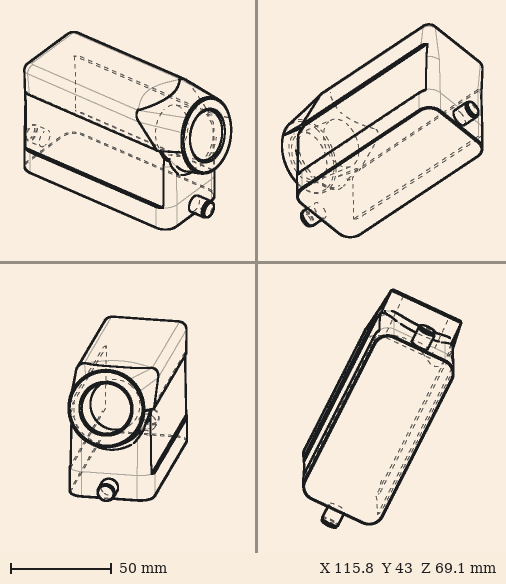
import cadquery as cq
import math

OVERALL_LENGTH = 115.8
OVERALL_HEIGHT = 69.1

RIM_LENGTH = 93.6
RIM_WIDTH = 43.0
RIM_HEIGHT = 13.4
RIM_CORNER = 7.4
RIM_CHAMFER = 0.5
WAIST_HEIGHT = 37.6
WAIST_CORNER = 7.1
TOP_LENGTH = 91.3
TOP_WIDTH = 41.7
TOP_HEIGHT = 62.7
TOP_CORNER = 3.8
TOP_FILLET = 3.7

PANEL_TOP_HEIGHT = 46.5
PANEL_BOTTOM_HALF_WIDTH = 20.5
PANEL_TOP_HALF_WIDTH = 19.9
LOWER_LEDGE_DROP = 0.5
UPPER_LEDGE_RISE = 0.3

PIN_DIAMETER = 8.8
PIN_TIP_DIAMETER = 8.0
PIN_END = 56.0
PIN_TIP_LENGTH = 0.9
PIN_HEIGHT = 6.4

OUTLET_TILT = 15
OUTLET_DIAMETER = 38.5
MOUTH_CHAMFER_RADIAL = 0.8
MOUTH_CHAMFER_AXIAL = 0.8
BORE_DIAMETER = 25.0
BORE_DEPTH = 23.2
BORE_CHAMFER = 0.9
LOWER_OUTLET_LENGTH = 23.2
ROOT_FILLET_REACH = 3.2

OBLIQUE_TOP_X = 24.8
OBLIQUE_SLOPE = 1.07
ROOT_HALF_WIDTH = 21.2
CORNER_START_ANGLE = 36
CORNER_END_ANGLE = 59

BLEND_REACH = 6.6

BLEND_SINK = 0.2
ROOT_FILLET_SINK = 0.4

BLEND_STATIONS = (0.3, 0.6, 0.97)
ROOT_FILLET_STATIONS = (0.4, 0.75, 0.9, 0.96)

tilt = math.radians(OUTLET_TILT)
outlet_radius = OUTLET_DIAMETER / 2
mouth_radius = outlet_radius - MOUTH_CHAMFER_RADIAL
outlet_x = OVERALL_LENGTH - PIN_END - mouth_radius * math.sin(tilt)
outlet_z = OVERALL_HEIGHT - outlet_radius * math.cos(tilt) + MOUTH_CHAMFER_AXIAL * math.sin(tilt)
top_half_width = TOP_WIDTH / 2
brow_half_width = top_half_width - TOP_FILLET


def drafted_size(height):
    """Length and width of the drafted body at a height above the rim."""
    share = (height - RIM_HEIGHT) / (TOP_HEIGHT - RIM_HEIGHT)
    length = RIM_LENGTH + (TOP_LENGTH - RIM_LENGTH) * share
    width = RIM_WIDTH + (TOP_WIDTH - RIM_WIDTH) * share
    return length, width


def section(length, width, corner, height):
    """Rounded rectangle lying at a height."""
    outline = cq.Sketch().rect(length, width).vertices().fillet(corner)
    return outline.moved(cq.Location(cq.Vector(0, 0, height)))


def make_body():
    rim_bottom = section(RIM_LENGTH, RIM_WIDTH, RIM_CORNER, 0)
    rim_top = section(RIM_LENGTH, RIM_WIDTH, RIM_CORNER, RIM_HEIGHT)
    waist = section(*drafted_size(WAIST_HEIGHT), WAIST_CORNER, WAIST_HEIGHT)
    top = section(TOP_LENGTH, TOP_WIDTH, TOP_CORNER, TOP_HEIGHT)

    rim = cq.Workplane("XY").placeSketch(rim_bottom).extrude(RIM_HEIGHT)
    rim = rim.faces("<Z").chamfer(RIM_CHAMFER)
    lower = cq.Workplane("XY").placeSketch(rim_top, waist).loft(ruled=True)
    upper = cq.Workplane("XY").placeSketch(waist, top).loft(ruled=True)
    upper = upper.faces(">Z").edges().fillet(TOP_FILLET)
    return rim.union(lower).union(upper)


def panel_cut(side):
    """Slab that flattens one long side (side is -1 or 1) and forms its two ledges."""
    rim_side = side * RIM_WIDTH / 2
    outside = side * RIM_WIDTH
    lower_edge = RIM_HEIGHT - LOWER_LEDGE_DROP
    upper_edge = PANEL_TOP_HEIGHT + UPPER_LEDGE_RISE
    profile = [
        (side * PANEL_BOTTOM_HALF_WIDTH, RIM_HEIGHT),
        (side * PANEL_TOP_HALF_WIDTH, PANEL_TOP_HEIGHT),
        (rim_side, upper_edge),
        (outside, upper_edge),
        (outside, lower_edge),
        (rim_side, lower_edge),
    ]
    slab = cq.Workplane("YZ", origin=(-RIM_LENGTH / 2, 0, 0)).polyline(profile).close()
    return slab.extrude(RIM_LENGTH)


def oblique_cut():
    """Wedge above the oblique plane, at the upper +X corner of the body."""
    end_x = OBLIQUE_TOP_X + TOP_LENGTH
    rise = OVERALL_HEIGHT - TOP_HEIGHT
    profile = [
        (OBLIQUE_TOP_X - rise / OBLIQUE_SLOPE, OVERALL_HEIGHT),
        (end_x, OVERALL_HEIGHT),
        (end_x, TOP_HEIGHT - OBLIQUE_SLOPE * TOP_LENGTH),
    ]
    return cq.Workplane("XZ").polyline(profile).close().extrude(RIM_WIDTH, both=True)


def outlet_plane(distance_back):
    """Plane square to the outlet axis: local x along Y, local y upwards, normal out of the mouth."""
    out_x = math.cos(tilt)
    out_z = math.sin(tilt)
    origin = (outlet_x - distance_back * out_x, 0, outlet_z - distance_back * out_z)
    return cq.Plane(origin=origin, xDir=(0, 1, 0), normal=(out_x, 0, out_z))


def mouth_point(angle):
    """Point on the outlet shoulder circle, angle in degrees from its top."""
    turn = math.radians(angle)
    across = outlet_radius * math.sin(turn)
    up = outlet_radius * math.cos(turn)
    return outlet_plane(MOUTH_CHAMFER_AXIAL).toWorldCoords((across, up, 0))


def mouth_arc(start, end):
    return cq.Edge.makeThreePointArc(mouth_point(start), mouth_point((start + end) / 2), mouth_point(end))


def root_point(y, drop):
    """Point on the oblique plane, a given drop below the roof."""
    return cq.Vector(OBLIQUE_TOP_X + drop / OBLIQUE_SLOPE, y, TOP_HEIGHT - drop)


def root_corner(side):
    """Rounded upper corner of the outlet's root, from the roof to the side wall."""
    bend = TOP_FILLET * (1 - math.sqrt(0.5))
    return cq.Edge.makeThreePointArc(
        root_point(side * brow_half_width, 0),
        root_point(side * (top_half_width - bend), bend),
        root_point(side * top_half_width, TOP_FILLET),
    )


def make_upper_outlet():
    """Upper half: from the body's outline on the oblique plane to a half circle at the shoulder."""
    axis_z_below_edge = outlet_z + (OBLIQUE_TOP_X - outlet_x) * math.tan(tilt)
    foot_drop = (TOP_HEIGHT - axis_z_below_edge) / (1 + math.tan(tilt) / OBLIQUE_SLOPE)
    foot_right = root_point(ROOT_HALF_WIDTH, foot_drop)
    foot_left = root_point(-ROOT_HALF_WIDTH, foot_drop)

    line = cq.Edge.makeLine
    root = cq.Wire.assembleEdges([
        line(root_point(-brow_half_width, 0), root_point(brow_half_width, 0)),
        root_corner(1),
        line(root_point(top_half_width, TOP_FILLET), foot_right),
        line(foot_right, foot_left),
        line(foot_left, root_point(-top_half_width, TOP_FILLET)),
        root_corner(-1),
    ])
    mouth = cq.Wire.assembleEdges([
        mouth_arc(-CORNER_START_ANGLE, CORNER_START_ANGLE),
        mouth_arc(CORNER_START_ANGLE, CORNER_END_ANGLE),
        mouth_arc(CORNER_END_ANGLE, 90),
        line(mouth_point(90), mouth_point(-90)),
        mouth_arc(-90, -CORNER_END_ANGLE),
        mouth_arc(-CORNER_END_ANGLE, -CORNER_START_ANGLE),
    ])
    return cq.Workplane(cq.Solid.makeLoft([root, mouth], True))


def make_lower_outlet():
    """Half-round underside of the outlet."""
    return (
        cq.Workplane(outlet_plane(LOWER_OUTLET_LENGTH))
        .moveTo(-outlet_radius, 0)
        .threePointArc((0, -outlet_radius), (outlet_radius, 0))
        .close()
        .extrude(LOWER_OUTLET_LENGTH - MOUTH_CHAMFER_AXIAL)
    )


def make_mouth():
    """Chamfered disc that closes the outlet."""
    taper = math.degrees(math.atan2(MOUTH_CHAMFER_RADIAL, MOUTH_CHAMFER_AXIAL))
    disc = cq.Workplane(outlet_plane(MOUTH_CHAMFER_AXIAL)).circle(outlet_radius)
    return disc.extrude(MOUTH_CHAMFER_AXIAL, taper=taper)


def make_bore():
    """Blind bore with a chamfered entry."""
    radius = BORE_DIAMETER / 2
    hole = cq.Workplane(outlet_plane(BORE_DEPTH)).circle(radius).extrude(BORE_DEPTH)
    entry = cq.Workplane(outlet_plane(BORE_CHAMFER)).circle(radius).extrude(BORE_CHAMFER, taper=-45)
    return hole.union(entry)


def concave_fill(start, direction, end, foot):
    """Closed section: an arc leaving start along direction, backed by two lines through foot."""
    return cq.Wire.assembleEdges([
        cq.Edge.makeTangentArc(start, direction, end),
        cq.Edge.makeLine(end, foot),
        cq.Edge.makeLine(foot, start),
    ])


def loft_across(section_at, half_width, shares):
    """Smooth loft through sections mirrored about the middle of the part."""
    stations = [-half_width * share for share in reversed(shares)]
    stations += [0]
    stations += [half_width * share for share in shares]
    return cq.Workplane(cq.Solid.makeLoft([section_at(y) for y in stations]))


def roof_blend_section(y):
    """Blend tangent to the roof and the rising outlet, fading out towards the brow corners."""
    share = y / brow_half_width
    reach = BLEND_REACH * math.cos(share * math.pi / 2)
    far = mouth_point(CORNER_START_ANGLE * share)
    rise = math.atan2(far.z - TOP_HEIGHT, far.x - OBLIQUE_TOP_X)
    start = cq.Vector(OBLIQUE_TOP_X - reach, y, TOP_HEIGHT)
    end = cq.Vector(OBLIQUE_TOP_X + reach * math.cos(rise), y, TOP_HEIGHT + reach * math.sin(rise))
    foot = cq.Vector(OBLIQUE_TOP_X, y, TOP_HEIGHT - BLEND_SINK * reach)
    return concave_fill(start, cq.Vector(1, 0, 0), end, foot)


def end_wall_x(y, z):
    """X of the +X end wall, following its rounded corners."""
    length, width = drafted_size(z)
    into_corner = max(0, abs(y) - (width / 2 - WAIST_CORNER))
    return length / 2 - WAIST_CORNER + math.sqrt(WAIST_CORNER**2 - into_corner**2)


def root_fillet_section(y):
    """Fillet between the end wall and the outlet's underside, fading out towards the sides."""
    depth = math.sqrt(outlet_radius**2 - y**2)
    reach = ROOT_FILLET_REACH * math.sqrt(1 - (y / outlet_radius) ** 4)
    z = outlet_z - depth / math.cos(tilt) + (end_wall_x(y, WAIST_HEIGHT) - outlet_x) * math.tan(tilt)
    x = end_wall_x(y, z)
    low = cq.Vector(x, y, z - reach)
    high = cq.Vector(x + reach * math.cos(tilt), y, z + reach * math.sin(tilt))
    foot = cq.Vector(x - ROOT_FILLET_SINK * reach, y, z + ROOT_FILLET_SINK * reach)
    return concave_fill(low, cq.Vector(0, 0, 1), high, foot)


def make_pins():
    """Both locking pins, made as one rod through the body."""
    radius = PIN_DIAMETER / 2
    tip_radius = PIN_TIP_DIAMETER / 2
    tip_start = PIN_END - PIN_TIP_LENGTH
    cone_start = tip_start - (radius - tip_radius)
    profile = [
        (-PIN_END, 0),
        (-PIN_END, tip_radius),
        (-tip_start, tip_radius),
        (-cone_start, radius),
        (cone_start, radius),
        (tip_start, tip_radius),
        (PIN_END, tip_radius),
        (PIN_END, 0),
    ]
    rod = cq.Workplane("XZ", origin=(0, 0, PIN_HEIGHT)).polyline(profile).close()
    return rod.revolve(360, (0, 0, 0), (1, 0, 0))


hood = make_body()
for panel_side in (-1, 1):
    hood = hood.cut(panel_cut(panel_side))
hood = hood.cut(oblique_cut())
hood = hood.union(make_upper_outlet())
hood = hood.union(loft_across(roof_blend_section, brow_half_width, BLEND_STATIONS))
hood = hood.union(make_lower_outlet())
hood = hood.union(loft_across(root_fillet_section, outlet_radius, ROOT_FILLET_STATIONS))
hood = hood.union(make_mouth()).cut(make_bore())
result = hood.union(make_pins())